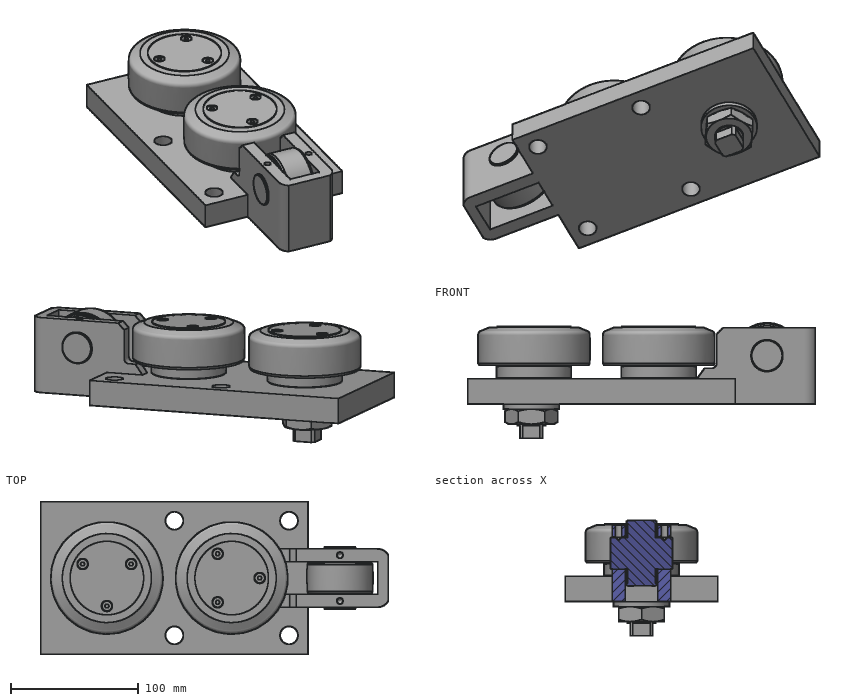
import cadquery as cq
import math


PLATE_LENGTH = 210.0
PLATE_WIDTH = 120.0
PLATE_THICKNESS = 20.0
TAPPED_HOLE_DIAMETER = 13.84
TAPPED_HOLE_X = (105.0, 195.0)
TAPPED_HOLE_Y = 45.0

MAIN_ROLLER_X = (52.0, 150.0)
FIRST_SCREW_ANGLES = (-90.0, 0.0)
HUB_DIAMETER = 59.0
HUB_FOOT_DIAMETER = 57.8
HUB_FOOT_HEIGHT = 0.6
HUB_TOP = PLATE_THICKNESS + 9.6
HUB_NECK_DIAMETER = 55.3
TYRE_BOTTOM = PLATE_THICKNESS + 10.3
TYRE_DIAMETER = 88.4
TYRE_EDGE_DIAMETER = 88.0
TYRE_BOTTOM_DIAMETER = 86.0
CROWN_BOTTOM = 32.2
CROWN_TOP = 54.4
SHOULDER_DIAMETER = 82.6
SHOULDER_Z = 57.7
TYRE_FACE_DIAMETER = 70.0
TYRE_TOP = 60.3
CAP_DIAMETER = 57.8
CAP_TOP = 61.0

SCREW_COUNT = 3
SCREW_CIRCLE_RADIUS = 22.0
COUNTERBORE_DIAMETER = 8.6
COUNTERBORE_DEPTH = 4.0
SCREW_HEAD_DIAMETER = 7.8
SCREW_HEAD_SINK = 0.4
SOCKET_ACROSS_CORNERS = 3.4
SOCKET_DEPTH = 2.0

STUD_X = MAIN_ROLLER_X[0] - 2.0
WASHER_DIAMETER = 44.0
WASHER_THICKNESS = 4.0
NUT_ACROSS_FLATS = 36.0
NUT_HEIGHT = 11.7
NUT_CHAMFER_ANGLE = 30.0
STUD_DIAMETER = 22.5
STUD_ROUND_BOTTOM = -17.2
STUD_BOTTOM = -27.0
STUD_SQUARE = 18.0

BRACKET_END_X = 273.0
BRACKET_HEIGHT = 60.0
BRACKET_WIDTH = 46.0
SLOT_WIDTH = 25.4
END_WALL_THICKNESS = 8.4
CORNER_LENGTH = 8.4
CORNER_WIDTH = 4.9
CHEEK_X = 195.5
CHEEK_CHAMFER = 5.0
FOOT_TIP_X = 180.0
FOOT_TOP_X = 186.0
FOOT_TOP_Z = 28.2
STEP_RADIUS = 4.0

PIN_X = 235.0
PIN_Z = 38.0
PIN_BORE_DIAMETER = 25.1
PIN_DIAMETER = 25.0
PIN_LENGTH = 49.0
PIN_CHAMFER = 0.6
SET_SCREW_HOLE_DIAMETER = 4.92
SET_SCREW_Y = 18.0
SET_SCREW_POINT_DEPTH = SET_SCREW_HOLE_DIAMETER / 2
SIDE_ROLLER_DIAMETER = 52.0
SIDE_ROLLER_EDGE_DIAMETER = 51.7
SIDE_ROLLER_WIDTH = 24.0
SIDE_ROLLER_CROWN_WIDTH = 20.8
SIDE_ROLLER_FACE_DIAMETER = 50.0
SIDE_ROLLER_RECESS_DIAMETER = 47.0
SIDE_ROLLER_RECESS_DEPTH = 1.0


def cylinder(diameter, bottom, top, x, y=0.0):
    """Upright cylinder between two heights."""
    return cq.Workplane("XY", origin=(x, y, bottom)).circle(diameter / 2).extrude(top - bottom)


def base_plate():
    plate = cq.Workplane("XY").box(PLATE_LENGTH, PLATE_WIDTH, PLATE_THICKNESS, centered=(False, True, False))
    for x in TAPPED_HOLE_X:
        for y in (-TAPPED_HOLE_Y, TAPPED_HOLE_Y):
            plate = plate.cut(cylinder(TAPPED_HOLE_DIAMETER, 0, PLATE_THICKNESS, x, y))
    return plate


def bracket():
    """Fork whose two cheeks reach over the plate and butt against its end."""
    cheeks = (
        cq.Workplane("XZ")
        .moveTo(PLATE_LENGTH, 0)
        .lineTo(BRACKET_END_X, 0)
        .lineTo(BRACKET_END_X, BRACKET_HEIGHT)
        .lineTo(CHEEK_X + CHEEK_CHAMFER, BRACKET_HEIGHT)
        .lineTo(CHEEK_X, BRACKET_HEIGHT - CHEEK_CHAMFER)
        .lineTo(CHEEK_X, FOOT_TOP_Z + STEP_RADIUS)
        .tangentArcPoint((CHEEK_X - STEP_RADIUS, FOOT_TOP_Z), relative=False)
        .lineTo(FOOT_TOP_X, FOOT_TOP_Z)
        .lineTo(FOOT_TIP_X, PLATE_THICKNESS)
        .lineTo(PLATE_LENGTH, PLATE_THICKNESS)
        .close()
        .extrude(BRACKET_WIDTH / 2, both=True)
    )
    half_width = BRACKET_WIDTH / 2
    corner_start_x = BRACKET_END_X - CORNER_LENGTH
    end_half_width = half_width - CORNER_WIDTH
    plan = (
        cq.Workplane("XY")
        .moveTo(FOOT_TIP_X, -half_width)
        .lineTo(corner_start_x, -half_width)
        .tangentArcPoint((BRACKET_END_X, -end_half_width), relative=False)
        .lineTo(BRACKET_END_X, 0)
        .lineTo(FOOT_TIP_X, 0)
        .close()
        .extrude(BRACKET_HEIGHT)
    )
    plan = plan.union(plan.mirror("XZ"))
    slot_end_x = BRACKET_END_X - END_WALL_THICKNESS
    slot = cq.Workplane("XY", origin=(FOOT_TIP_X, 0, 0)).box(
        slot_end_x - FOOT_TIP_X, SLOT_WIDTH, BRACKET_HEIGHT, centered=(False, True, False)
    )
    fork = cheeks.intersect(plan).cut(slot)
    pin_bore = (
        cq.Workplane("XZ", origin=(PIN_X, 0, PIN_Z))
        .circle(PIN_BORE_DIAMETER / 2)
        .extrude(BRACKET_WIDTH, both=True)
    )
    fork = fork.cut(pin_bore)
    for y in (-SET_SCREW_Y, SET_SCREW_Y):
        fork = fork.cut(cylinder(SET_SCREW_HOLE_DIAMETER, PIN_Z, BRACKET_HEIGHT, PIN_X, y))
    return fork


def main_roller(x, first_screw_angle):
    """Hub, crowned tyre and cap turned about the vertical axis, with the cap screws sunk in."""
    roller = (
        cq.Workplane("XZ")
        .moveTo(0, PLATE_THICKNESS)
        .lineTo(HUB_FOOT_DIAMETER / 2, PLATE_THICKNESS)
        .lineTo(HUB_DIAMETER / 2, PLATE_THICKNESS + HUB_FOOT_HEIGHT)
        .lineTo(HUB_DIAMETER / 2, HUB_TOP)
        .lineTo(HUB_NECK_DIAMETER / 2, HUB_TOP)
        .lineTo(HUB_NECK_DIAMETER / 2, TYRE_BOTTOM)
        .lineTo(TYRE_BOTTOM_DIAMETER / 2, TYRE_BOTTOM)
        .lineTo(TYRE_EDGE_DIAMETER / 2, CROWN_BOTTOM)
        .threePointArc(
            (TYRE_DIAMETER / 2, (CROWN_BOTTOM + CROWN_TOP) / 2),
            (TYRE_EDGE_DIAMETER / 2, CROWN_TOP),
        )
        .tangentArcPoint((SHOULDER_DIAMETER / 2, SHOULDER_Z), relative=False)
        .lineTo(TYRE_FACE_DIAMETER / 2, TYRE_TOP)
        .lineTo(CAP_DIAMETER / 2, TYRE_TOP)
        .lineTo(CAP_DIAMETER / 2, CAP_TOP)
        .lineTo(0, CAP_TOP)
        .close()
        .revolve(360, (0, 0, 0), (0, 1, 0))
        .translate((x, 0, 0))
    )
    for index in range(SCREW_COUNT):
        angle = math.radians(first_screw_angle + index * 360 / SCREW_COUNT)
        screw_x = x + SCREW_CIRCLE_RADIUS * math.cos(angle)
        screw_y = SCREW_CIRCLE_RADIUS * math.sin(angle)
        head_top = CAP_TOP - SCREW_HEAD_SINK
        seat = CAP_TOP - COUNTERBORE_DEPTH
        socket = (
            cq.Workplane("XY", origin=(screw_x, screw_y, head_top))
            .polygon(6, SOCKET_ACROSS_CORNERS)
            .extrude(-SOCKET_DEPTH)
        )
        roller = roller.cut(cylinder(COUNTERBORE_DIAMETER, seat, CAP_TOP, screw_x, screw_y))
        roller = roller.union(cylinder(SCREW_HEAD_DIAMETER, seat, head_top, screw_x, screw_y).cut(socket))
    return roller


def hex_nut():
    """Hexagon nut under the washer, with both ends turned down conically."""
    top = -WASHER_THICKNESS
    bottom = top - NUT_HEIGHT
    corner_radius = NUT_ACROSS_FLATS / math.sqrt(3)
    face_radius = NUT_ACROSS_FLATS / 2
    cone_height = (corner_radius - face_radius) * math.tan(math.radians(NUT_CHAMFER_ANGLE))
    hexagon = cq.Workplane("XY", origin=(STUD_X, 0, bottom)).polygon(6, 2 * corner_radius).extrude(NUT_HEIGHT)
    turned = cylinder(2 * corner_radius, bottom, top, STUD_X)
    turned = turned.edges().chamfer(cone_height, corner_radius - face_radius)
    return hexagon.intersect(turned)


def clamping_stud():
    """Washer, nut and stud with a square end."""
    washer = cylinder(WASHER_DIAMETER, -WASHER_THICKNESS, 0, STUD_X)
    round_part = cylinder(STUD_DIAMETER, STUD_ROUND_BOTTOM, 0, STUD_X)
    square_end = (
        cq.Workplane("XY", origin=(STUD_X, 0, STUD_BOTTOM))
        .rect(STUD_SQUARE, STUD_SQUARE)
        .extrude(STUD_ROUND_BOTTOM - STUD_BOTTOM)
        .intersect(cylinder(STUD_DIAMETER, STUD_BOTTOM, STUD_ROUND_BOTTOM, STUD_X))
    )
    return washer.union(hex_nut()).union(round_part).union(square_end)


def build_carriage():
    """Plate, bracket, main rollers and clamping stud as one body."""
    carriage = base_plate().union(bracket())
    for x, first_screw_angle in zip(MAIN_ROLLER_X, FIRST_SCREW_ANGLES):
        carriage = carriage.union(main_roller(x, first_screw_angle))
    return carriage.union(clamping_stud())


def build_side_roller():
    """Crowned roller with recessed faces, in one piece with its pin along Y."""
    half_width = SIDE_ROLLER_WIDTH / 2
    half_crown = SIDE_ROLLER_CROWN_WIDTH / 2
    recess_y = half_width - SIDE_ROLLER_RECESS_DEPTH
    half_pin = PIN_LENGTH / 2
    roller = (
        cq.Workplane("XY")
        .moveTo(0, -half_width)
        .lineTo(SIDE_ROLLER_FACE_DIAMETER / 2, -half_width)
        .lineTo(SIDE_ROLLER_EDGE_DIAMETER / 2, -half_crown)
        .threePointArc((SIDE_ROLLER_DIAMETER / 2, 0), (SIDE_ROLLER_EDGE_DIAMETER / 2, half_crown))
        .lineTo(SIDE_ROLLER_FACE_DIAMETER / 2, half_width)
        .lineTo(0, half_width)
        .close()
        .revolve(360, (0, 0, 0), (0, 1, 0))
    )
    for start_y, depth in ((recess_y, -half_width), (-recess_y, half_width)):
        recess = (
            cq.Workplane("XZ", origin=(0, start_y, 0))
            .circle(SIDE_ROLLER_RECESS_DIAMETER / 2)
            .extrude(depth)
        )
        roller = roller.cut(recess)
    pin = (
        cq.Workplane("XZ")
        .circle(PIN_DIAMETER / 2)
        .extrude(half_pin, both=True)
        .edges("%CIRCLE")
        .chamfer(PIN_CHAMFER)
    )
    for y in (-SET_SCREW_Y, SET_SCREW_Y):
        seat = cq.Solid.makeCone(
            SET_SCREW_HOLE_DIAMETER / 2,
            0,
            SET_SCREW_POINT_DEPTH,
            pnt=cq.Vector(0, y, PIN_DIAMETER / 2),
            dir=cq.Vector(0, 0, -1),
        )
        pin = pin.cut(cq.Workplane(seat))
    return roller.union(pin).translate((PIN_X, 0, PIN_Z))


carriage = build_carriage()
side_roller = build_side_roller()
result = cq.Compound.makeCompound([carriage.val(), side_roller.val()])